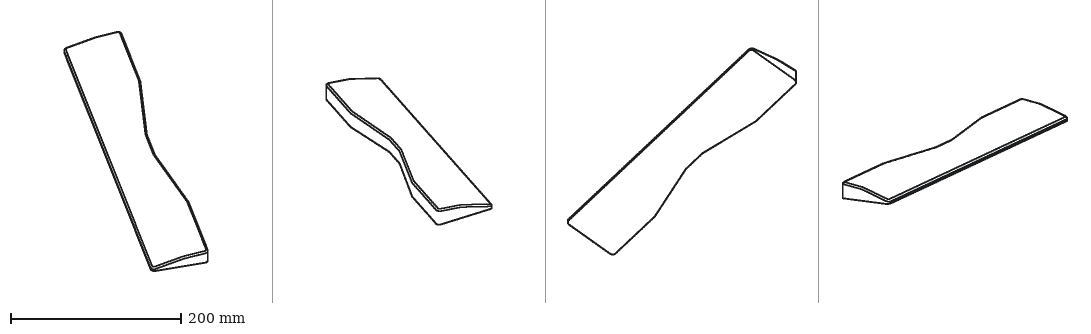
import cadquery as cq
import math

length = 346.8
depth = 70.5
height = 20.5

ridge_setback = 30.5
top_slope = 10.0
bottom_slope = 7.1

relief_depth = 16.5
relief_top_width = 189.5
relief_floor_width = 31.2

corner_radius = 4.5
top_chamfer = 2.0

front_y = -depth / 2
rear_y = depth / 2
ridge_y = rear_y - ridge_setback


def wedge():
    """Full-length wedge, level at the rear and thinning toward the front."""
    front_bottom = depth * math.tan(math.radians(bottom_slope))
    front_top = height - (ridge_y - front_y) * math.tan(math.radians(top_slope))
    section = [
        (rear_y, 0),
        (rear_y, height),
        (ridge_y, height),
        (front_y, front_top),
        (front_y, front_bottom),
    ]
    return cq.Workplane("YZ").polyline(section).close().extrude(length / 2, both=True)


def rear_relief():
    """Trapezoidal cutter that narrows the middle of the rear edge."""
    floor_y = rear_y - relief_depth
    outline = [
        (-relief_top_width / 2, rear_y),
        (-relief_floor_width / 2, floor_y),
        (relief_floor_width / 2, floor_y),
        (relief_top_width / 2, rear_y),
    ]
    return cq.Workplane("XY").polyline(outline).close().extrude(height)


body = wedge().edges("|Z").fillet(corner_radius)
body = body.cut(rear_relief())

level_top = body.faces(">Z")
sloped_top = body.faces(
    cq.selectors.BoxSelector(
        (-length / 4, front_y + corner_radius, height / 2),
        (length / 4, ridge_y - corner_radius, height),
    )
)
top_edges = level_top.add(sloped_top).edges()
ridge = top_edges.edges("|X").edges(cq.selectors.NearestToPointSelector((0, ridge_y, height)))
rim = [edge for edge in top_edges.vals() if not edge.isSame(ridge.val())]

result = body.newObject([body.val().chamfer(top_chamfer, None, rim)])